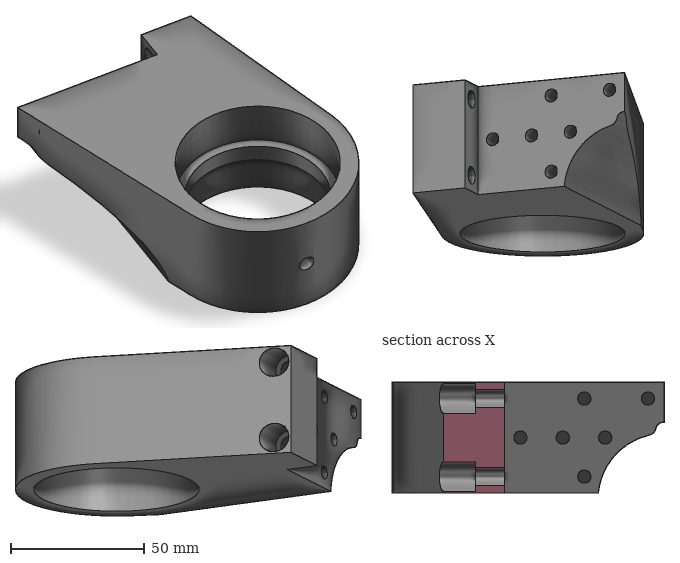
import cadquery as cq
import math

length = 120.6
width = 102.1
height = 41.6
mid_height = height / 2

head_radius = 38.0
seat_radius = 31.0
lip_radius = 27.5
seat_depth = 17.4
cross_hole_diameter = 6.0

left_x = head_radius - length
pad_x = left_x + 12.4
front_y = head_radius - width
flange_back_y = 17.1
flange_front_y = -4.2

edge_inset = 6.1
flange_hole_diameter = 6.6
counterbore_diameter = 11.0
counterbore_floor_y = flange_front_y + 11.0
pad_hole_diameter = 5.0
pad_hole_depth = 10.0
pad_pattern_y = front_y + 30.0
middle_row_y = front_y + 38.1
middle_row_pitch = 15.9

relief_foot_inset = 24.7
scallop_radius = 24.6
scallop_end_inset, scallop_end_height = 5.7, 21.7
round_mid_inset, round_mid_height = 4.2, 22.4
notch_start_inset, notch_start_height = 3.1, 24.1
notch_mid_inset, notch_mid_height = 1.9, 26.0
notch_height = 26.5


def tangent_point(x, y, side):
    """Point where a line from (x, y) touches the head; side is +1 counterclockwise, -1 clockwise."""
    angle = math.atan2(y, x) + side * math.acos(head_radius / math.hypot(x, y))
    return head_radius * math.cos(angle), head_radius * math.sin(angle)


def make_body():
    front_tangent = tangent_point(pad_x, front_y, 1)
    back_tangent = tangent_point(left_x, flange_back_y, -1)
    return (
        cq.Workplane("XY")
        .moveTo(pad_x, front_y)
        .lineTo(*front_tangent)
        .threePointArc((head_radius, 0), back_tangent)
        .lineTo(left_x, flange_back_y)
        .lineTo(left_x, flange_front_y)
        .lineTo(pad_x, flange_front_y)
        .close()
        .extrude(height)
    )


def cylinder_along_z(radius, bottom, top):
    return cq.Workplane("XY").workplane(offset=bottom).circle(radius).extrude(top - bottom)


def cut_bore(body):
    body = body.cut(cylinder_along_z(lip_radius, 0, height))
    body = body.cut(cylinder_along_z(seat_radius, 0, seat_depth))
    return body.cut(cylinder_along_z(seat_radius, height - seat_depth, height))


def cut_cross_hole(body):
    """Radial hole through the lip on the +X side."""
    hole = (
        cq.Workplane("YZ")
        .center(0, mid_height)
        .circle(cross_hole_diameter / 2)
        .extrude(head_radius)
    )
    return body.cut(hole)


def cut_flange_holes(body):
    """Bolt holes along Y, counterbored from the sloping back face."""
    hole_x = (left_x + pad_x) / 2
    bores = (
        (flange_hole_diameter, flange_front_y),
        (counterbore_diameter, counterbore_floor_y),
    )
    for z in (edge_inset, height - edge_inset):
        for diameter, start_y in bores:
            bore = (
                cq.Workplane("XZ", origin=(hole_x, start_y, z))
                .circle(diameter / 2)
                .extrude(-width)
            )
            body = body.cut(bore)
    return body


def cut_pad_holes(body):
    centers = [
        (pad_pattern_y, edge_inset),
        (pad_pattern_y, height - edge_inset),
        (front_y + edge_inset, height - edge_inset),
    ]
    for step in (-1, 0, 1):
        centers.append((middle_row_y + step * middle_row_pitch, mid_height))
    holes = (
        cq.Workplane("YZ", origin=(pad_x, 0, 0))
        .pushPoints(centers)
        .circle(pad_hole_diameter / 2)
        .extrude(pad_hole_depth)
    )
    return body.cut(holes)


def cut_relief(body):
    """Scallop, convex round and small notch running along X under the front edge."""
    relief = (
        cq.Workplane("YZ", origin=(left_x, 0, 0))
        .moveTo(front_y, 0)
        .lineTo(front_y + relief_foot_inset, 0)
        .radiusArc((front_y + scallop_end_inset, scallop_end_height), -scallop_radius)
        .threePointArc(
            (front_y + round_mid_inset, round_mid_height),
            (front_y + notch_start_inset, notch_start_height),
        )
        .threePointArc(
            (front_y + notch_mid_inset, notch_mid_height),
            (front_y, notch_height),
        )
        .close()
        .extrude(length)
    )
    return body.cut(relief)


body = make_body()
body = cut_bore(body)
body = cut_cross_hole(body)
body = cut_flange_holes(body)
body = cut_pad_holes(body)
result = cut_relief(body)